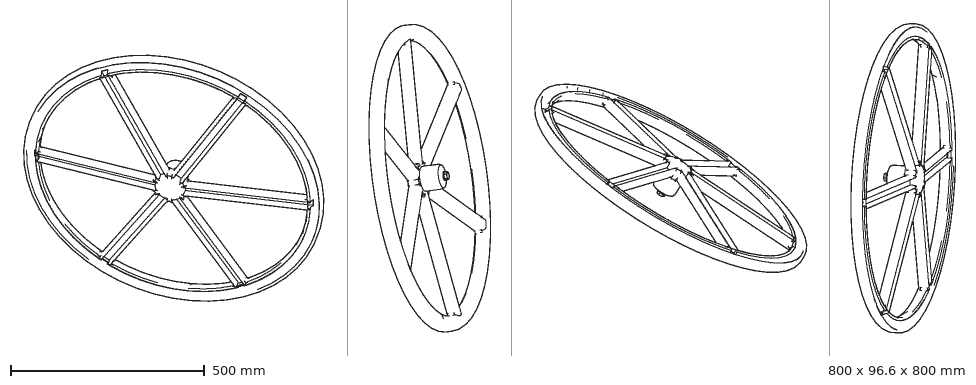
import cadquery as cq
import math

rim_outer_radius = 400.0
overall_depth = 96.56
spoke_count = 6

lip_radius = 4.0

rim_width = 40.0
rim_front = 30.5
rim_depth = 35.0
rim_back_radius = 17.5

spoke_width = 35.0
spoke_depth = 30.0
spoke_back_radius = 11.0
spoke_groove_depth = 15.0

hub_radius = 39.5
hub_edge_radius = 5.0
hub_corner_radius = 8.0
rim_corner_radius = 5.0

boss_diameter = 65.0
boss_crown_height = 6.0
boss_crown_curve = 40.0
boss_shoulder_radius = 30.0
boss_shoulder_height = 9.5
boss_shoulder_curve = 15.0
washer_diameter = 24.0
washer_thickness = 2.5
bolt_sides = 6
bolt_across_flats = 19.0
bolt_chamfer_diameter = 18.0
bolt_head_height = 7.5
bolt_chamfer_angle = 30.0

rim_inner_radius = rim_outer_radius - rim_width
rim_mid_radius = rim_outer_radius - rim_width / 2
rim_groove_radius = rim_width / 2 - 2 * lip_radius
boss_radius = boss_diameter / 2
spoke_half = spoke_width / 2
spoke_groove_half = spoke_half - 2 * lip_radius
sector = 360.0 / spoke_count
spoke_start = hub_radius - hub_edge_radius / 2
spoke_end = rim_inner_radius + 1.25 * lip_radius
spoke_slope = math.atan2(rim_front, spoke_end - spoke_start)
washer_seat = overall_depth - bolt_head_height - washer_thickness


def channel_profile(plane, half_width, depth, back_radius):
    """Open front of a grooved bar section, from one groove wall round the back to the other.

    Local x runs across the bar and local y rearward from the lip crests.
    """
    crest = half_width - lip_radius
    wall = crest - lip_radius
    return (
        cq.Workplane(plane)
        .moveTo(wall, lip_radius)
        .radiusArc((crest, 0), -lip_radius)
        .radiusArc((half_width, lip_radius), -lip_radius)
        .lineTo(half_width, depth - back_radius)
        .radiusArc((half_width - back_radius, depth), -back_radius)
        .lineTo(back_radius - half_width, depth)
        .radiusArc((-half_width, depth - back_radius), -back_radius)
        .lineTo(-half_width, lip_radius)
        .radiusArc((-crest, 0), -lip_radius)
        .radiusArc((-wall, lip_radius), -lip_radius)
    )


def sweep_rim_sector(profile):
    """Turn a profile about the wheel axis through one sector, centred on the +X spoke."""
    sweep = profile.revolve(sector, (-rim_mid_radius, 0, 0), (-rim_mid_radius, 1, 0))
    return sweep.rotate((0, 0, 0), (0, 1, 0), -sector / 2)


def turned(x, z, angle):
    """A point turned about the origin of its plane."""
    return (
        x * math.cos(angle) - z * math.sin(angle),
        x * math.sin(angle) + z * math.cos(angle),
    )


def around(body):
    """Copies of a body made for the +X spoke, one for each spoke."""
    return [body.rotate((0, 0, 0), (0, 1, 0), index * sector).val() for index in range(spoke_count)]


def spoke_plane(radius):
    """Plane across the sloping +X spoke, its origin on the lip crests."""
    slope_run = math.tan(spoke_slope)
    origin = (radius, (radius - spoke_start) * slope_run, 0)
    return cq.Plane(origin, xDir=(0, 0, -1), normal=(math.cos(spoke_slope), math.sin(spoke_slope), 0))


rim_plane = cq.Plane((rim_mid_radius, rim_front, 0), xDir=(1, 0, 0), normal=(0, 0, 1))


def make_rim_sector():
    """Rim with a round-bottomed groove in its front."""
    section = channel_profile(rim_plane, rim_width / 2, rim_depth, rim_back_radius)
    groove_bottom = (0, lip_radius + rim_groove_radius)
    section = section.threePointArc(groove_bottom, (rim_groove_radius, lip_radius)).close()
    return sweep_rim_sector(section)


def make_spoke():
    """Sloping spoke with a flat-bottomed groove in its front."""
    section = (
        channel_profile(spoke_plane(spoke_start), spoke_half, spoke_depth, spoke_back_radius)
        .lineTo(-spoke_groove_half, spoke_groove_depth)
        .lineTo(spoke_groove_half, spoke_groove_depth)
        .close()
    )
    bar = section.extrude((rim_mid_radius - spoke_start) / math.cos(spoke_slope))
    inside_rim = cq.Workplane("XZ").circle(spoke_end).extrude(-overall_depth)
    return bar.intersect(inside_rim)


def make_lip_opening():
    """Cutter that runs the spoke groove on through the inner rim lip into the rim groove."""
    length = (rim_mid_radius - rim_groove_radius / 2 - spoke_end + lip_radius) / math.cos(spoke_slope)
    return (
        cq.Workplane(spoke_plane(spoke_end - lip_radius))
        .rect(2 * spoke_groove_half, 2 * spoke_groove_depth)
        .extrude(length)
    )


def make_hub():
    return (
        cq.Workplane("XZ")
        .circle(hub_radius)
        .extrude(-spoke_depth)
        .edges("<Y")
        .fillet(hub_edge_radius)
    )


def make_hub_corner():
    """Web that rounds off the gap between the +X spoke and its neighbour."""
    half_sector = math.radians(sector / 2)
    arc_centre = (spoke_half + hub_corner_radius) / math.sin(half_sector)
    tangent = arc_centre * math.cos(half_sector)
    return (
        cq.Workplane("XZ")
        .transformed(rotate=(0, 0, math.degrees(half_sector)))
        .moveTo(0, 0)
        .lineTo(*turned(tangent, spoke_half, -half_sector))
        .threePointArc((arc_centre - hub_corner_radius, 0), turned(tangent, -spoke_half, half_sector))
        .close()
        .extrude(-spoke_depth)
    )


def make_rim_corner():
    """Rounded corner between the +X spoke and the rim, on both sides of the spoke."""
    centre_z = spoke_half + rim_corner_radius
    to_centre = rim_inner_radius - rim_corner_radius
    angle = math.asin(centre_z / to_centre)
    centre_x = to_centre * math.cos(angle)
    rim_point = (rim_inner_radius * math.cos(angle), rim_inner_radius * math.sin(angle))
    middle = (angle - math.pi / 2) / 2
    arc_point = (
        centre_x + rim_corner_radius * math.cos(middle),
        centre_z + rim_corner_radius * math.sin(middle),
    )
    inside_x = rim_inner_radius + lip_radius
    inside_z = spoke_half - lip_radius
    corner = (
        cq.Workplane("XZ", origin=(0, rim_front + lip_radius / 2, 0))
        .moveTo(centre_x, spoke_half)
        .threePointArc(arc_point, rim_point)
        .lineTo(inside_x, rim_point[1])
        .lineTo(inside_x, inside_z)
        .lineTo(centre_x, inside_z)
        .close()
        .extrude(spoke_back_radius - spoke_depth)
    )
    return corner.union(corner.mirror("XY"))


def make_boss():
    """Domed boss behind the hub, starting inside the hub so that the two join."""
    shoulder_y = washer_seat - boss_crown_height
    return (
        cq.Workplane("XY")
        .moveTo(0, spoke_groove_depth)
        .lineTo(boss_radius, spoke_groove_depth)
        .lineTo(boss_radius, shoulder_y - boss_shoulder_height)
        .radiusArc((boss_shoulder_radius, shoulder_y), -boss_shoulder_curve)
        .radiusArc((washer_diameter / 2, washer_seat), -boss_crown_curve)
        .lineTo(0, washer_seat)
        .close()
        .revolve(360, (0, 0, 0), (0, 1, 0))
    )


def make_bolt():
    """Washer and chamfered hexagon head on the back of the boss."""
    washer = (
        cq.Workplane("XZ", origin=(0, washer_seat, 0))
        .circle(washer_diameter / 2)
        .extrude(-washer_thickness)
    )
    across_corners = bolt_across_flats / math.cos(math.pi / bolt_sides)
    chamfer_width = (across_corners - bolt_chamfer_diameter) / 2
    chamfer_height = chamfer_width * math.tan(math.radians(bolt_chamfer_angle))
    head_start = cq.Workplane("XZ", origin=(0, washer_seat + washer_thickness, 0))
    head = head_start.polygon(bolt_sides, across_corners).extrude(-bolt_head_height)
    chamfered_round = (
        head_start.circle(across_corners / 2)
        .extrude(-bolt_head_height)
        .edges(">Y")
        .chamfer(chamfer_height, chamfer_width)
    )
    return washer.union(head.intersect(chamfered_round))


sector_body = make_rim_sector().union(make_spoke()).union(make_rim_corner()).cut(make_lip_opening())
hub = make_hub().val().fuse(make_boss().val(), make_bolt().val(), *around(make_hub_corner()))
wheel = hub.fuse(*around(sector_body))
result = cq.Workplane(wheel.clean().Solids()[0])